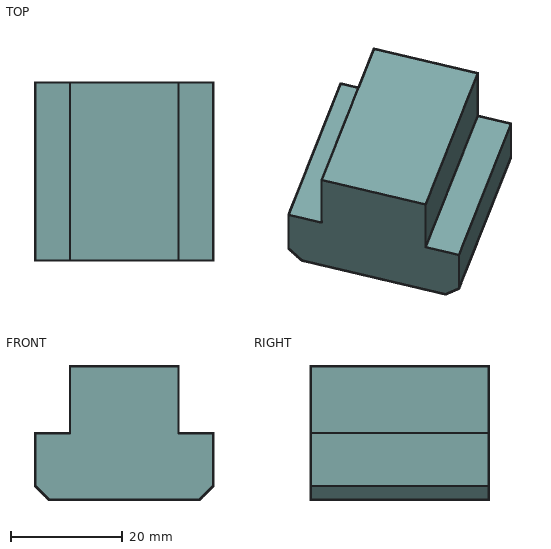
import cadquery as cq

base_width = 32.0
length = 32.0
total_height = 24.0
base_height = 12.0
stem_width = 19.5
chamfer_size = 2.5


def make_base():
    """Wide foot of the T, with its two long bottom edges chamfered."""
    base = cq.Workplane("XY").box(base_width, length, base_height, centered=(True, True, False))
    return base.faces("<Z").edges("|Y").chamfer(chamfer_size)


def make_stem():
    """Narrow upright of the T, running the full length and starting on top of the base."""
    stem_height = total_height - base_height
    stem = cq.Workplane("XY").box(stem_width, length, stem_height, centered=(True, True, False))
    return stem.translate((0, 0, base_height))


result = make_base().union(make_stem())